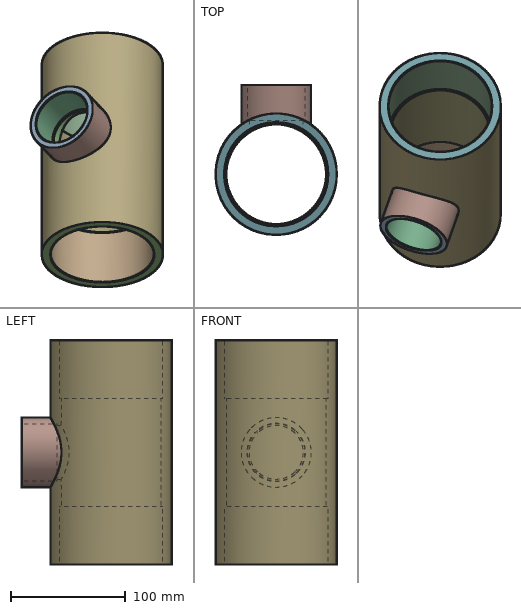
import cadquery as cq

body_diameter = 106.0
body_length = 196.0
body_socket_diameter = 90.0
body_bore_diameter = 87.0
body_socket_depth = 51.0

branch_diameter = 61.0
branch_reach = 78.0
branch_socket_diameter = 50.0
branch_bore_diameter = 47.0
branch_socket_depth = 31.0

mouth_chamfer = 0.5
mouth_bevel_angle = 45.0


def body_cylinder(diameter, length):
    """Cylinder on the main axis, going down from the top mouth."""
    return cq.Workplane("XY", origin=(0, 0, body_length / 2)).circle(diameter / 2).extrude(-length)


def branch_cylinder(diameter, length):
    """Cylinder on the branch axis, going inward from the branch mouth."""
    return cq.Workplane("XZ", origin=(0, branch_reach, 0)).circle(diameter / 2).extrude(length)


def bevelled_socket(socket, mouth_selector, diameter):
    """Socket cutter widened by a bevel at its mouth."""
    mouth = socket.faces(mouth_selector).workplane(invert=True)
    mouth_circle = mouth.circle(diameter / 2 + mouth_chamfer)
    bevel = mouth_circle.extrude(mouth_chamfer, combine=False, taper=mouth_bevel_angle)
    return socket.union(bevel)


def outer_shape():
    body = body_cylinder(body_diameter, body_length)
    return body.union(branch_cylinder(branch_diameter, branch_reach))


def cut_body_bore(part):
    """Through bore with a wider pipe socket at each end."""
    socket = body_cylinder(body_socket_diameter, body_socket_depth)
    top_socket = bevelled_socket(socket, ">Z", body_socket_diameter)
    bottom_socket = top_socket.mirror("XY")
    bore = body_cylinder(body_bore_diameter, body_length)
    return part.cut(bore).cut(top_socket).cut(bottom_socket)


def cut_branch_bore(part):
    """Branch bore opening into the main bore, with a pipe socket at the mouth."""
    socket = branch_cylinder(branch_socket_diameter, branch_socket_depth)
    bore = branch_cylinder(branch_bore_diameter, branch_reach)
    return part.cut(bore).cut(bevelled_socket(socket, ">Y", branch_socket_diameter))


result = cut_branch_bore(cut_body_bore(outer_shape()))